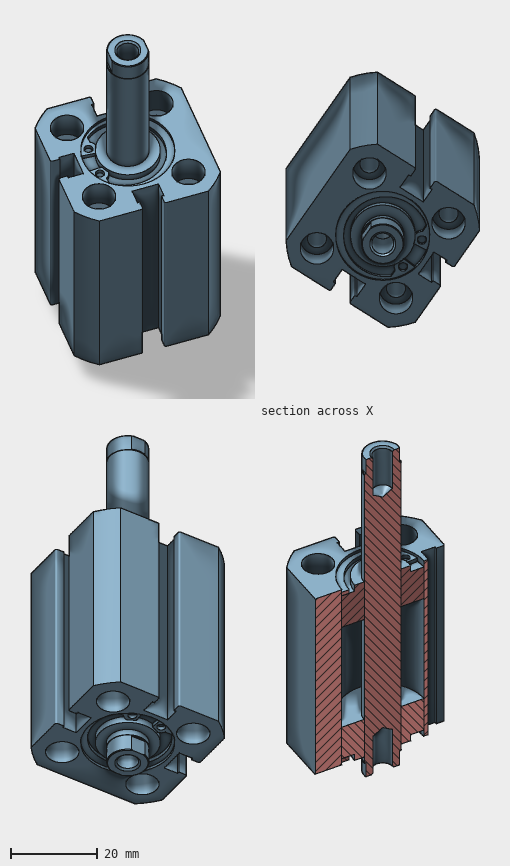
import cadquery as cq
import math


body_width = 36.0
body_height = 52.0
corner_radius = 22.5
bore_radius = 10.9

slot_mouth_width = 5.4
slot_inner_width = 6.5
slot_depth = 5.9
slot_lip = 2.3
slot_edge_radius = 0.5

hole_pitch = 22.0
hole_diameter = 4.4
counterbore_diameter = 7.7
counterbore_depth = 7.0

boss_radius = 7.5
collar_length = 11.3

ring_recess = 0.75
ring_thickness = 1.0
ring_opening_radius = 9.8
ring_opening_offset = 0.8
ear_edge_y = -7.2
ear_radius = 2.1
ear_hole_radius = 1.0
ear_x = 3.95
ear_y = -8.3
ear_gap_inner = 4.2
ear_gap_outer = 5.0

overall_length = 94.0
rod_radius = 5.0
rod_reach_top = 36.0
tip_diameter = 9.8
tip_length = 4.4
tip_chamfer = 0.2
flat_length = 4.1
across_flats = 9.0
tap_radius = 2.5
tap_mouth_radius = 3.0
tap_depth = 11.3
tap_point_angle = 118.0

half_height = body_height / 2
rod_top = half_height + rod_reach_top
rod_bottom = rod_top - overall_length


def block(width, depth, height):
    """A box standing on the XY plane."""
    return cq.Workplane("XY").box(width, depth, height, centered=(True, True, False))


def slot_cutter():
    """T-slot of the -Y face, over the whole housing height."""
    face_y = -body_width / 2
    mouth = block(slot_mouth_width, 2 * slot_lip, body_height).translate((0, face_y, 0))
    channel_depth = slot_depth - slot_lip
    channel_y = face_y + slot_lip + channel_depth / 2
    channel = block(slot_inner_width, channel_depth, body_height).translate((0, channel_y, 0))
    return mouth.union(channel).translate((0, 0, -half_height))


def slot_edge_cutter():
    """Rounding of both mouth edges of the -Y slot."""
    face_y = -body_width / 2
    half_mouth = slot_mouth_width / 2
    inner_y = face_y + slot_edge_radius
    outer_x = half_mouth + slot_edge_radius
    arc_inset = slot_edge_radius * (1 - math.sqrt(0.5))
    arc_mid_x = half_mouth + arc_inset
    arc_mid_y = face_y + arc_inset
    return (
        cq.Workplane("XY")
        .workplane(offset=-half_height)
        .moveTo(-outer_x, face_y)
        .lineTo(outer_x, face_y)
        .threePointArc((arc_mid_x, arc_mid_y), (half_mouth, inner_y))
        .lineTo(-half_mouth, inner_y)
        .threePointArc((-arc_mid_x, arc_mid_y), (-outer_x, face_y))
        .close()
        .extrude(body_height)
    )


def make_housing():
    envelope = cq.Workplane("XY").circle(corner_radius).extrude(body_height)
    body = block(body_width, body_width, body_height).intersect(envelope)
    body = body.translate((0, 0, -half_height))
    body = body.faces(">Z").workplane(origin=(0, 0, 0)).circle(bore_radius).cutThruAll()

    for end in (">Z", "<Z"):
        body = (
            body.faces(end)
            .workplane(origin=(0, 0, 0))
            .rect(hole_pitch, hole_pitch, forConstruction=True)
            .vertices()
            .cboreHole(hole_diameter, counterbore_diameter, counterbore_depth)
        )

    for angle in (-90, 0, 90):
        for cutter in (slot_cutter(), slot_edge_cutter()):
            body = body.cut(cutter.rotate((0, 0, 0), (0, 0, 1), angle))
    return body


def make_collar():
    """Upper guide collar: a plug filling the bore, with a boss flush with the housing face."""
    flange_top = half_height - ring_recess - ring_thickness
    plug_length = collar_length - ring_recess - ring_thickness
    plug = (
        cq.Workplane("XY")
        .workplane(offset=flange_top - plug_length)
        .circle(bore_radius)
        .extrude(plug_length)
    )
    boss = (
        cq.Workplane("XY")
        .workplane(offset=half_height - collar_length)
        .circle(boss_radius)
        .extrude(collar_length)
    )
    return plug.union(boss).faces(">Z").workplane().circle(rod_radius).cutThruAll()


def make_ring():
    """Upper retaining ring, with its two eared ends at -Y."""
    opening = (
        cq.Workplane("XY")
        .center(0, -ring_opening_offset)
        .circle(ring_opening_radius)
        .extrude(ring_thickness)
    )
    above_ears = block(2 * bore_radius, 2 * bore_radius, ring_thickness)
    above_ears = above_ears.translate((0, ear_edge_y + bore_radius, 0))
    ear_centres = [(-ear_x, ear_y), (ear_x, ear_y)]
    ears = cq.Workplane("XY").pushPoints(ear_centres).circle(ear_radius).extrude(ring_thickness)
    ear_holes = cq.Workplane("XY").pushPoints(ear_centres).circle(ear_hole_radius).extrude(ring_thickness)
    ear_top_y = ear_y + ear_radius
    gap = (
        cq.Workplane("XY")
        .polyline([
            (-ear_gap_inner / 2, ear_top_y),
            (ear_gap_inner / 2, ear_top_y),
            (ear_gap_outer / 2, -bore_radius),
            (-ear_gap_outer / 2, -bore_radius),
        ])
        .close()
        .extrude(ring_thickness)
    )
    boss_clearance = cq.Workplane("XY").circle(boss_radius).extrude(ring_thickness)

    disc = cq.Workplane("XY").circle(bore_radius).extrude(ring_thickness)
    ring = disc.cut(opening.intersect(above_ears)).union(ears.intersect(disc))
    for cutter in (ear_holes, gap, boss_clearance):
        ring = ring.cut(cutter)
    return ring.translate((0, 0, half_height - ring_recess - ring_thickness))


def tapped_hole():
    """Drilled hole with a countersunk mouth at Z = 0 and a conical point below."""
    mouth_depth = tap_mouth_radius - tap_radius
    point_depth = tap_radius / math.tan(math.radians(tap_point_angle / 2))
    return (
        cq.Workplane("XZ")
        .polyline([
            (0, 0),
            (tap_mouth_radius, 0),
            (tap_radius, -mouth_depth),
            (tap_radius, -tap_depth),
            (0, -tap_depth - point_depth),
        ])
        .close()
        .revolve(360, (0, 0, 0), (0, 1, 0))
    )


def flats_cutter():
    """Two blocks that leave the tip flat on its -Y and +Y sides, reaching down from Z = 0."""
    removed = block(2 * rod_radius, 2 * rod_radius, flat_length)
    kept = block(2 * rod_radius, across_flats, flat_length)
    return removed.cut(kept).translate((0, 0, -flat_length))


def make_rod():
    shank_length = overall_length - 2 * tip_length
    tip_to_tip = (
        cq.Workplane("XY")
        .workplane(offset=rod_bottom)
        .circle(tip_diameter / 2)
        .extrude(overall_length)
        .edges("%CIRCLE")
        .chamfer(tip_chamfer)
    )
    shank = (
        cq.Workplane("XY")
        .workplane(offset=rod_bottom + tip_length)
        .circle(rod_radius)
        .extrude(shank_length)
    )
    rod = tip_to_tip.union(shank)
    for cutter in (tapped_hole(), flats_cutter()):
        rod = rod.cut(cutter.translate((0, 0, rod_top)))
        rod = rod.cut(cutter.mirror("XY").translate((0, 0, rod_bottom)))
    return rod


housing = make_housing()
rod = make_rod()
collars = [make_collar(), make_collar().mirror("XY")]
rings = [make_ring(), make_ring().mirror("XY")]

result = cq.Compound.makeCompound([
    housing.val(),
    rod.val(),
    *[collar.val() for collar in collars],
    *[ring.val() for ring in rings],
])